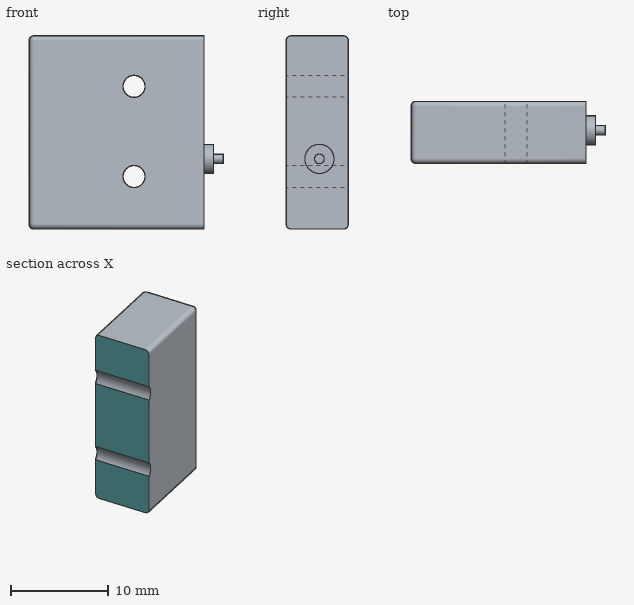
import cadquery as cq

overall_length = 20.0
block_depth = 6.4
block_height = 19.9
edge_radius = 0.5

collar_diameter = 3.0
collar_length = 1.0
pin_diameter = 1.0
pin_length = 1.0
exit_y = 0.22
exit_z = -2.72

hole_diameter = 2.25
hole_x = 10.8
hole_spacing = 9.28
hole_middle_z = 0.1

block_length = overall_length - collar_length - pin_length


def make_block():
    """Block with its -X face at X = 0, centred on Y and Z, rounded except around the +X face."""
    block = cq.Workplane("XY").box(
        block_length, block_depth, block_height, centered=(False, True, True)
    )
    return block.edges("not >X").fillet(edge_radius)


def make_cylinder(start_x, diameter, length):
    """Cylinder along +X on the cable exit axis."""
    plane = cq.Workplane("YZ", origin=(start_x, exit_y, exit_z))
    return plane.circle(diameter / 2).extrude(length)


def make_mounting_holes():
    """Two cylinders that pass through the full depth of the block."""
    hole_centers = [
        (hole_x, hole_middle_z + hole_spacing / 2),
        (hole_x, hole_middle_z - hole_spacing / 2),
    ]
    plane = cq.Workplane("XZ").pushPoints(hole_centers)
    return plane.circle(hole_diameter / 2).extrude(block_depth / 2, both=True)


collar = make_cylinder(block_length, collar_diameter, collar_length)
pin = make_cylinder(block_length + collar_length, pin_diameter, pin_length)
result = make_block().cut(make_mounting_holes()).union(collar).union(pin)